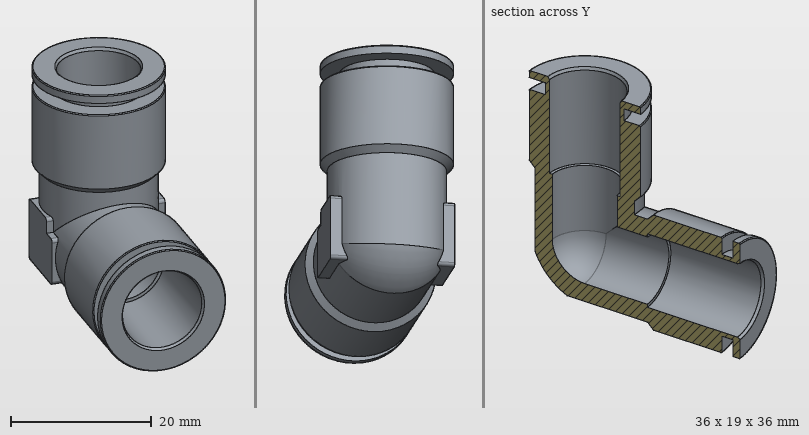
import cadquery as cq


body_radius = 17.0 / 2
socket_radius = 19.0 / 2
neck_radius = 13.5 / 2
socket_start = 10.7
socket_end = 23.4
flange_start = 25.25
port_end = 26.5
socket_taper = socket_radius - body_radius
rim_chamfer = 0.15

tube_bore_radius = 12.0 / 2
passage_radius = 11.0 / 2
tube_stop = socket_start
mouth_chamfer = 0.25
mouth_chamfer_depth = 0.45

swing_centre = 1.15
swing_radius = 2.0

pad_outer_distance = 9.0
pad_min = -4.25
pad_size = 9.5
pad_max = pad_min + pad_size
pad_notch = 2.3
pad_corner_radius = 0.5


def turned_port(profile):
    """Turn a closed half profile (radius, height) about the Z axis."""
    return cq.Workplane("XZ").polyline(profile).close().revolve(360, (0, 0), (0, 1))


def with_level_port(upright):
    """Join an upright port to its mirror image in the plane x = z, which lies along X."""
    level = upright.val().mirror((1, 0, -1))
    return upright.union(level)


def mitred_leg():
    """Plain cylinder along Z, cut at its lower end by the plane x = z."""
    leg_length = socket_start + body_radius
    leg = cq.Workplane("XY", origin=(0, 0, -body_radius)).circle(body_radius).extrude(leg_length)
    above_mitre = (
        cq.Workplane("XZ")
        .polyline([
            (-socket_start, -socket_start),
            (socket_start, socket_start),
            (-socket_start, socket_start),
        ])
        .close()
        .extrude(socket_radius, both=True)
    )
    return leg.intersect(above_mitre)


def corner_waste():
    """Material outside the rounded outer corner of the elbow."""
    block_size = socket_radius + swing_centre
    block = (
        cq.Workplane("XY")
        .box(block_size, 2 * socket_radius, block_size)
        .translate((swing_centre - block_size / 2, 0, swing_centre - block_size / 2))
    )
    bend = (
        cq.Workplane("XY", origin=(swing_centre, 0, swing_centre))
        .moveTo(0, -body_radius)
        .lineTo(-swing_radius, -body_radius)
        .threePointArc((-swing_radius - body_radius, 0), (-swing_radius, body_radius))
        .lineTo(0, body_radius)
        .close()
        .revolve(360, (0, 0), (0, 1))
    )
    return block.cut(bend)


def side_pads():
    """One notched block through the elbow, showing as a flat pad on each side."""
    notch_edge = pad_max - pad_notch
    pads = (
        cq.Workplane("XZ")
        .polyline([
            (pad_min, pad_min),
            (pad_max, pad_min),
            (pad_max, notch_edge),
            (notch_edge, notch_edge),
            (notch_edge, pad_max),
            (pad_min, pad_max),
        ])
        .close()
        .extrude(pad_outer_distance, both=True)
    )
    inner_corner = cq.selectors.NearestToPointSelector((notch_edge, 0, notch_edge))
    outer_corners = cq.selectors.ParallelDirSelector(cq.Vector(0, 1, 0)) - inner_corner
    return pads.edges(outer_corners).fillet(pad_corner_radius)


def port_outside():
    """Tapered socket, neck and release flange of the upright port."""
    rim_radius = socket_radius - rim_chamfer
    return turned_port([
        (0, socket_start),
        (body_radius, socket_start),
        (socket_radius, socket_start + socket_taper),
        (socket_radius, socket_end - rim_chamfer),
        (rim_radius, socket_end),
        (neck_radius, socket_end),
        (neck_radius, flange_start),
        (socket_radius, flange_start),
        (socket_radius, port_end - rim_chamfer),
        (rim_radius, port_end),
        (0, port_end),
    ])


def port_bore():
    """Chamfered tube bore and passage of the upright port, down to the axis crossing."""
    return turned_port([
        (0, 0),
        (passage_radius, 0),
        (passage_radius, tube_stop),
        (tube_bore_radius, tube_stop),
        (tube_bore_radius, port_end - mouth_chamfer_depth),
        (tube_bore_radius + mouth_chamfer, port_end),
        (0, port_end),
    ])


elbow = with_level_port(mitred_leg()).cut(corner_waste()).union(side_pads())
outside = elbow.union(with_level_port(port_outside()))
inside = with_level_port(port_bore()).union(cq.Workplane("XY").sphere(passage_radius))
result = outside.cut(inside)